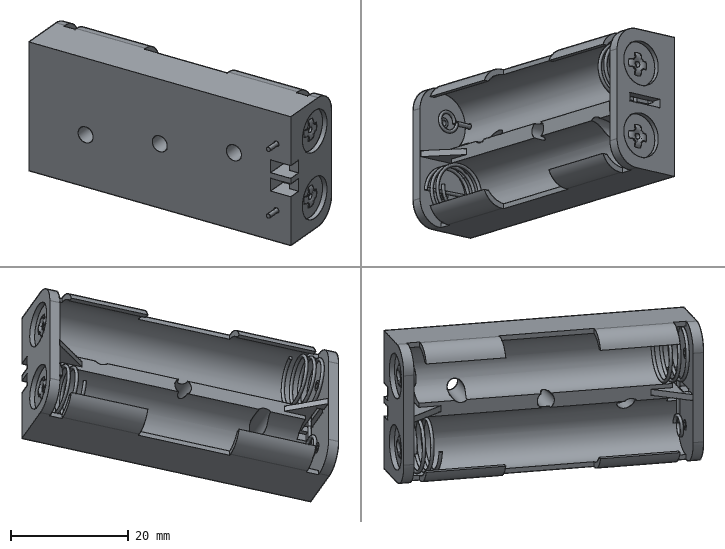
import cadquery as cq
import math


length = 53.0
depth = 13.0
height = 24.6
corner_radius = 4.35
end_wall = 1.85
side_cut_y = 8.25
clip_start = 8.35
clip_end = 22.4
inner_x = length / 2 - end_wall

cell_y = 7.6
cell_z = 6.35
channel_y = 7.85
channel_radius = 5.1
mouth_half_height = 9.65

web_thickness = 1.05
web_top_y = 12.75
web_slope = 0.81

mount_diameter = 3.0
mount_x = 15.0
mount_z = 2.35
vent_height = 2.45
vent_depth = 2.5
recess_diameter = 7.8
recess_depth = 0.9
link_slot_height = 1.5
link_slot_y = (3.35, 10.05)
link_notch_x = 23.4
link_notch_top_y = 10.75
pin_hole_diameter = 1.0

rivet_bore = 1.0
rivet_shank = 1.8
rivet_span = 4.1
rivet_core = 2.5
petal_width = 1.3
petal_rise = 0.3
petal_thickness = 0.25
recess_x = length / 2 - recess_depth

wire_diameter = 0.6
spring_radius = 4.475
spring_pitch = 1.5
spring_turns = 3.0
pin_spring_x = 24.15
link_spring_x = 24.25
loop_radius = 1.75
loop_pitch = 0.65
loop_turns = 1.0
loop_start_x = 23.95
pin_diameter = 0.8
pin_length = 2.55
pin_x = 23.6
link_x = 23.75
link_y = 6.45
link_joint_z = -1.6
leg_offset = 0.2


def box(x_range, y_range, z_range):
    """Box between pairs of coordinates."""
    sizes = [high - low for low, high in (x_range, y_range, z_range)]
    return cq.Workplane("XY").box(*sizes, centered=False).translate((x_range[0], y_range[0], z_range[0]))


def rod(start, end, diameter):
    """Round bar between two points."""
    axis = cq.Vector(*end) - cq.Vector(*start)
    return cq.Workplane(cq.Solid.makeCylinder(diameter / 2, axis.Length, cq.Vector(*start), axis))


def half_turn(shape):
    """Turn a part end for end about the Y axis."""
    return shape.rotate((0, 0, 0), (0, 1, 0), 180)


def outer_block():
    block = box((-length / 2, length / 2), (0, depth), (-height / 2, height / 2))
    return block.edges("|X and >Y").fillet(corner_radius)


def cell_space():
    """Both channels with their shared mouth."""
    ends = (-inner_x, inner_x)
    space = box(ends, (channel_y, depth), (-mouth_half_height, mouth_half_height))
    for z in (-cell_z, cell_z):
        space = space.union(rod((ends[0], channel_y, z), (ends[1], channel_y, z), 2 * channel_radius))
    return space


def web_gussets():
    """Sloped web ends that rise from the channel mouth to the end walls."""
    run = (web_top_y - channel_y) / web_slope
    gusset = (
        cq.Workplane("XY", origin=(0, 0, -web_thickness / 2))
        .polyline([(inner_x, channel_y), (inner_x, web_top_y), (inner_x - run, channel_y)])
        .close()
        .extrude(web_thickness)
    )
    return gusset.union(half_turn(gusset))


def side_cuts():
    """Open stretches of the side walls: the middle and a gap at each end."""
    side_z = (-height / 2, height / 2)
    cuts = box((-clip_start, clip_start), (side_cut_y, depth), side_z)
    for x_range in ((clip_end, inner_x), (-inner_x, -clip_end)):
        cuts = cuts.union(box(x_range, (side_cut_y, depth), side_z))
    return cuts


def end_pockets():
    """Pockets that thin the web to its flat sides next to both end walls, with vents below at the +X end."""
    near_z = web_thickness / 2
    far_z = near_z + vent_height
    cuts = cq.Workplane("XY")
    for z_range in ((near_z, far_z), (-far_z, -near_z)):
        for x_range in ((clip_end, inner_x), (-inner_x, -clip_end)):
            cuts = cuts.union(box(x_range, (vent_depth, channel_y), z_range))
        cuts = cuts.union(box((clip_end, length / 2), (0, vent_depth), z_range))
    return cuts


def link_slot():
    """Slot through the -X end wall and into the web for the link wire."""
    z_range = (-link_slot_height / 2, link_slot_height / 2)
    slot = box((-length / 2, -link_notch_x), link_slot_y, z_range)
    notch = box((-inner_x, -link_notch_x), (link_slot_y[0], link_notch_top_y), z_range)
    return slot.union(notch)


def make_housing():
    housing = outer_block().cut(side_cuts()).cut(cell_space()).union(web_gussets())
    housing = housing.cut(end_pockets()).cut(link_slot())
    for side in (-1, 0, 1):
        x, z = side * mount_x, side * mount_z
        housing = housing.cut(rod((x, 0, z), (x, depth, z), mount_diameter))
    for z in (-cell_z, cell_z):
        housing = housing.cut(rod((pin_x, 0, z), (pin_x, cell_y, z), pin_hole_diameter))
        for end in (-1, 1):
            outside = (end * length / 2, cell_y, z)
            floor = (end * recess_x, cell_y, z)
            inside = (end * inner_x, cell_y, z)
            housing = housing.cut(rod(outside, floor, recess_diameter))
            housing = housing.cut(rod(floor, inside, rivet_shank))
    return housing


def make_rivet(end, z):
    """Tubular rivet through an end wall, its tail curled back into four petals."""
    bore, shank, tip = rivet_bore / 2, rivet_shank / 2, rivet_span / 2
    inner_tip = tip - (shank - bore)
    crown = (bore + tip) / 2
    shank_length = recess_x - inner_x
    profile = (
        cq.Workplane("XZ")
        .moveTo(bore, -shank_length)
        .lineTo(bore, 0)
        .threePointArc((crown, petal_rise), (tip, 0))
        .lineTo(inner_tip, 0)
        .threePointArc((crown, petal_rise - petal_thickness), (shank, 0))
        .lineTo(shank, -shank_length)
        .close()
    )
    rivet = profile.revolve(360, (0, 0, 0), (0, 1, 0))
    full_height = 2 * (shank_length + petal_rise)
    cross = (
        cq.Workplane("XY")
        .box(rivet_span, petal_width, full_height)
        .union(cq.Workplane("XY").box(petal_width, rivet_span, full_height))
        .union(cq.Workplane("XY").cylinder(full_height, rivet_core / 2))
    )
    rivet = rivet.intersect(cross)
    return rivet.rotate((0, 0, 0), (0, 1, 0), 90 * end).translate((end * recess_x, cell_y, z))


def coil(radius, pitch, turns, start_x, z, start_angle, lefthand):
    """Coil that winds inward from the +X wall. Its start angle is measured from +Y towards +Z."""
    path = cq.Wire.makeHelix(pitch, pitch * turns, radius, lefthand=lefthand)
    section = cq.Workplane("XZ", origin=(radius, 0, 0)).circle(wire_diameter / 2)
    wound = section.sweep(cq.Workplane(path), isFrenet=True)
    wound = wound.rotate((0, 0, 0), (0, 1, 0), -90)
    wound = wound.rotate((0, 0, 0), (1, 0, 0), start_angle - 90)
    return wound.translate((start_x, cell_y, z))


def spring_coil(start_x, start_angle):
    """Spring of the lower cell at the +X end."""
    return coil(
        spring_radius, spring_pitch, spring_turns, start_x, -cell_z, start_angle=start_angle, lefthand=True
    )


def contact_loop():
    """Loop of the upper cell at the +X end, from its -Y point."""
    return coil(loop_radius, loop_pitch, loop_turns, loop_start_x, cell_z, start_angle=180, lefthand=False)


def pin(z, top_y):
    """Solder pin that rises through the floor to a wire part."""
    return rod((pin_x, -pin_length, z), (pin_x, top_y, z), pin_diameter)


def make_pin_spring():
    """Spring of the lower cell with its pin, and a leg across the coil to where it starts."""
    pin_top_y = cell_y - spring_radius
    leg_z = -cell_z + leg_offset
    leg_top = (pin_spring_x, cell_y + spring_radius, leg_z)
    leg = rod((pin_x, pin_top_y, leg_z), leg_top, wire_diameter)
    return spring_coil(pin_spring_x, start_angle=0).union(pin(-cell_z, pin_top_y)).union(leg)


def make_pin_contact():
    """Wire loop of the upper cell with its pin."""
    return contact_loop().union(pin(cell_z, cell_y - loop_radius))


def link_end_z(radius):
    """Distance from a coil's axis to where the link wire meets it."""
    return math.sqrt(radius**2 - (cell_y - link_y) ** 2)


def make_link_spring():
    """Spring of the upper cell with the link wire that passes the web."""
    start = (-link_x, link_y, cell_z - link_end_z(spring_radius))
    spring = half_turn(spring_coil(link_spring_x, start_angle=-90))
    return spring.union(rod(start, (-link_x, link_y, link_joint_z), wire_diameter))


def make_link_contact():
    """Wire loop of the lower cell with a tail that meets the link wire."""
    start = (-link_x, link_y, -cell_z + link_end_z(loop_radius))
    return half_turn(contact_loop()).union(rod(start, (-link_x, link_y, link_joint_z), wire_diameter))


housing = make_housing()
rivets = [make_rivet(end, z).val() for end in (-1, 1) for z in (-cell_z, cell_z)]
pin_spring = make_pin_spring()
pin_contact = make_pin_contact()
link_spring = make_link_spring()
link_contact = make_link_contact()

result = cq.Compound.makeCompound(
    [
        housing.val(),
        *rivets,
        pin_spring.val(),
        pin_contact.val(),
        link_spring.val(),
        link_contact.val(),
    ]
)